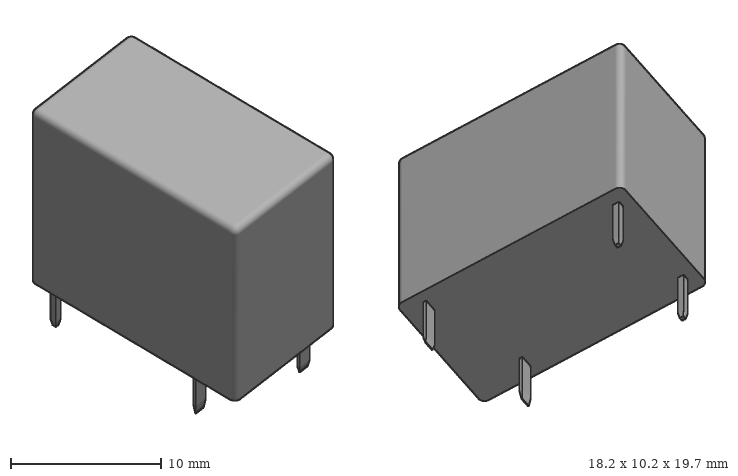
import cadquery as cq

HOUSING_LENGTH = 18.2
HOUSING_WIDTH = 10.2
HOUSING_HEIGHT = 15.5
EDGE_RADIUS = 0.5

OVERALL_HEIGHT = 19.7
PIN_LENGTH = OVERALL_HEIGHT - HOUSING_HEIGHT
PIN_ROW_Y = 3.8
TIP_INSET = 0.1

COIL_PIN_X = -7.94
COIL_PIN_SIDE = 0.5
COIL_TIP_LENGTH = 0.55

BLADE_THICKNESS = 0.25
BLADE_WIDTH = 1.0
OUTER_BLADE_X = 7.33
OUTER_BLADE_TIP_LENGTH = COIL_TIP_LENGTH
BLADE_PITCH = 2.55
INNER_BLADE_X = OUTER_BLADE_X - BLADE_PITCH
INNER_BLADE_TIP_LENGTH = 0.8


def make_housing():
    """Case with rounded upright and top edges and a sharp, flat underside."""
    block = cq.Workplane("XY").box(
        HOUSING_LENGTH, HOUSING_WIDTH, HOUSING_HEIGHT, centered=(True, True, False)
    )
    return block.edges("|Z or >Z").fillet(EDGE_RADIUS)


def make_pin(x, y, size_x, size_y, tip_length):
    """Rectangular pin hanging from the underside of the housing, tapered on all four sides at its end."""
    shank_length = PIN_LENGTH - tip_length
    shank = cq.Workplane("XY").center(x, y).rect(size_x, size_y).extrude(-shank_length)
    tip = (
        cq.Workplane("XY")
        .workplane(offset=-shank_length)
        .center(x, y)
        .rect(size_x, size_y)
        .workplane(offset=-tip_length)
        .rect(size_x - 2 * TIP_INSET, size_y - 2 * TIP_INSET)
        .loft(combine=False)
    )
    return shank.union(tip)


housing = make_housing()

coil_pins = [
    make_pin(COIL_PIN_X, y, COIL_PIN_SIDE, COIL_PIN_SIDE, COIL_TIP_LENGTH)
    for y in (-PIN_ROW_Y, PIN_ROW_Y)
]

contact_blades = [
    make_pin(x, y, BLADE_THICKNESS, BLADE_WIDTH, tip_length)
    for x, y, tip_length in (
        (INNER_BLADE_X, -PIN_ROW_Y, INNER_BLADE_TIP_LENGTH),
        (OUTER_BLADE_X, PIN_ROW_Y, OUTER_BLADE_TIP_LENGTH),
    )
]

result = cq.Compound.makeCompound(
    [housing.val()]
    + [pin.val() for pin in coil_pins]
    + [blade.val() for blade in contact_blades]
)